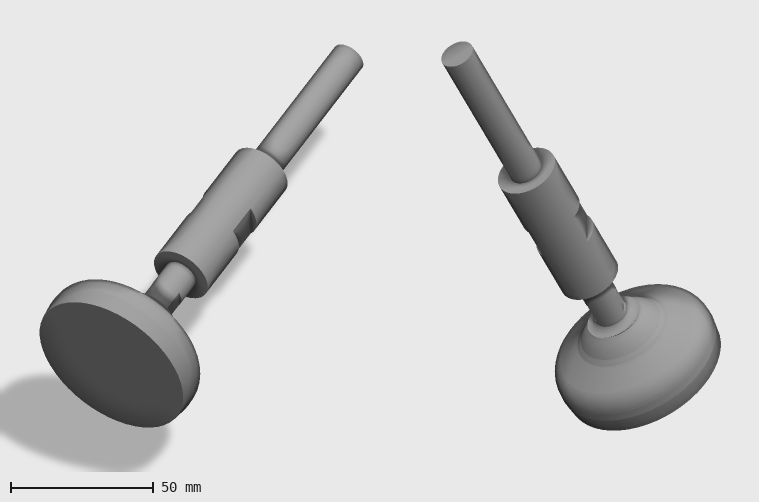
import cadquery as cq
import math


BASE_RADIUS = 29.2
RIM_RADIUS = 30.0
RIM_LOW = 6.0
RIM_HIGH = 9.0
RIM_HIGH_RADIUS = 29.8
SHOULDER_RADIUS = 25.8
SHOULDER_HEIGHT = 15.3
FLANK_RADIUS = 16.8
FLANK_HEIGHT = 19.7
DOME_RADIUS = 15.0
DOME_HEIGHT = 21.2
FOOT_TOP_RADIUS = 9.6
FOOT_HEIGHT = 26.2

TOTAL_LENGTH = 163.0
ROD_RADIUS = 6.0
FLANGE_RADIUS = 10.0
FLANGE_SEAT_RADIUS = 9.1
FLANGE_EDGE_HEIGHT = 27.0
FLARE_TOP_HEIGHT = 28.5
FLARE_SAG = 0.3
ROD_FLAT_START = 30.0
ROD_FLAT_LENGTH = 8.0
ROD_ACROSS_FLATS = 10.1

SLEEVE_RADIUS = 11.0
SLEEVE_START = 47.8
SLEEVE_LENGTH = 55.0
SLEEVE_FLAT_LENGTH = 12.0
SLEEVE_FLAT_START = SLEEVE_START + (SLEEVE_LENGTH - SLEEVE_FLAT_LENGTH) / 2
SLEEVE_ACROSS_FLATS = 17.0


def on_sphere(low, high):
    """Midpoint of the arc through two (radius, height) points, centred on the Y axis."""
    centre = (high[0] ** 2 + high[1] ** 2 - low[0] ** 2 - low[1] ** 2) / (2 * (high[1] - low[1]))
    sphere_radius = math.hypot(low[0], low[1] - centre)
    height = (low[1] + high[1]) / 2
    return math.sqrt(sphere_radius ** 2 - (height - centre) ** 2), height


def revolve_about_y(profile):
    """Turn a closed XY profile fully about the Y axis."""
    return profile.close().revolve(360, (0, 0, 0), (0, 1, 0))


def cut_flats(body, radius, across_flats, start, length):
    """Cut two opposite wrench flats, facing -X and +X."""
    depth = radius - across_flats / 2
    for side in (-1, 1):
        cutter = cq.Workplane("XY").box(2 * depth, length, 2 * radius)
        body = body.cut(cutter.translate((side * radius, start + length / 2, 0)))
    return body


def make_foot():
    """Round foot with a tapered base, rounded shoulder, conical flank and spherical dome."""
    dome_low = (DOME_RADIUS, DOME_HEIGHT)
    dome_high = (FOOT_TOP_RADIUS, FOOT_HEIGHT)
    profile = (
        cq.Workplane("XY")
        .lineTo(BASE_RADIUS, 0)
        .lineTo(RIM_RADIUS, RIM_LOW)
        .lineTo(RIM_HIGH_RADIUS, RIM_HIGH)
        .tangentArcPoint((SHOULDER_RADIUS, SHOULDER_HEIGHT), relative=False)
        .lineTo(FLANK_RADIUS, FLANK_HEIGHT)
        .lineTo(*dome_low)
        .threePointArc(on_sphere(dome_low, dome_high), dome_high)
        .lineTo(0, FOOT_HEIGHT)
    )
    return revolve_about_y(profile)


def make_rod():
    """Rod whose lower end flares out to a thin flange, with two wrench flats above it."""
    flare_middle = (
        (FLANGE_RADIUS + ROD_RADIUS) / 2 - FLARE_SAG,
        (FLANGE_EDGE_HEIGHT + FLARE_TOP_HEIGHT) / 2 - FLARE_SAG,
    )
    profile = (
        cq.Workplane("XY")
        .moveTo(0, FOOT_HEIGHT)
        .lineTo(FLANGE_SEAT_RADIUS, FOOT_HEIGHT)
        .lineTo(FLANGE_RADIUS, FLANGE_EDGE_HEIGHT)
        .threePointArc(flare_middle, (ROD_RADIUS, FLARE_TOP_HEIGHT))
        .lineTo(ROD_RADIUS, TOTAL_LENGTH)
        .lineTo(0, TOTAL_LENGTH)
    )
    rod = revolve_about_y(profile)
    return cut_flats(rod, ROD_RADIUS, ROD_ACROSS_FLATS, ROD_FLAT_START, ROD_FLAT_LENGTH)


def make_sleeve():
    """Sleeve bored to the rod's diameter, with two wrench flats at mid length."""
    sleeve = (
        cq.Workplane("XZ", origin=(0, SLEEVE_START, 0))
        .circle(SLEEVE_RADIUS)
        .circle(ROD_RADIUS)
        .extrude(-SLEEVE_LENGTH)
    )
    return cut_flats(sleeve, SLEEVE_RADIUS, SLEEVE_ACROSS_FLATS, SLEEVE_FLAT_START, SLEEVE_FLAT_LENGTH)


foot = make_foot()
rod = make_rod()
sleeve = make_sleeve()

result = cq.Compound.makeCompound([foot.val(), rod.val(), sleeve.val()])